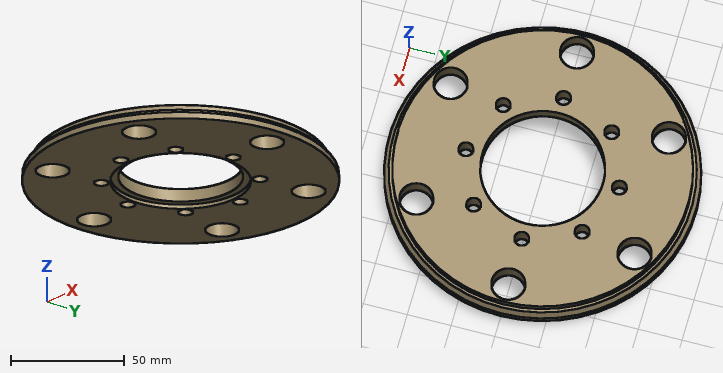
import cadquery as cq

rim_diameter = 139.7
spigot_diameter = 132.5
bore_diameter = 55.0
recess_diameter = 62.0
recess_depth = 2.0
total_height = 8.0
spigot_height = 3.0
rim_chamfer = 2.0

large_hole_count = 6
large_hole_diameter = 15.0
large_hole_circle = 115.0

small_hole_count = 8
small_hole_diameter = 6.5
small_hole_circle = 70.0

rim_height = total_height - spigot_height


def make_rim():
    """Base disc with a chamfered upper edge."""
    disc = cq.Workplane("XY").circle(rim_diameter / 2).extrude(rim_height)
    return disc.faces(">Z").edges().chamfer(rim_chamfer)


def make_spigot():
    """Raised locating disc, running the full height of the plate."""
    return cq.Workplane("XY").circle(spigot_diameter / 2).extrude(total_height)


def make_bore():
    """Cutter for the central through bore."""
    return cq.Workplane("XY").circle(bore_diameter / 2).extrude(total_height)


def make_recess():
    """Cutter for the shallow recess around the bore on the underside."""
    return cq.Workplane("XY").circle(recess_diameter / 2).extrude(recess_depth)


def make_hole_ring(count, hole_diameter, circle_diameter):
    """Cutters for a ring of through holes, the first one on the +X axis."""
    return (
        cq.Workplane("XY")
        .polarArray(circle_diameter / 2, 0, 360, count)
        .circle(hole_diameter / 2)
        .extrude(total_height)
    )


plate = make_rim().union(make_spigot())
plate = plate.cut(make_bore())
plate = plate.cut(make_recess())
plate = plate.cut(make_hole_ring(large_hole_count, large_hole_diameter, large_hole_circle))
plate = plate.cut(make_hole_ring(small_hole_count, small_hole_diameter, small_hole_circle))

result = plate